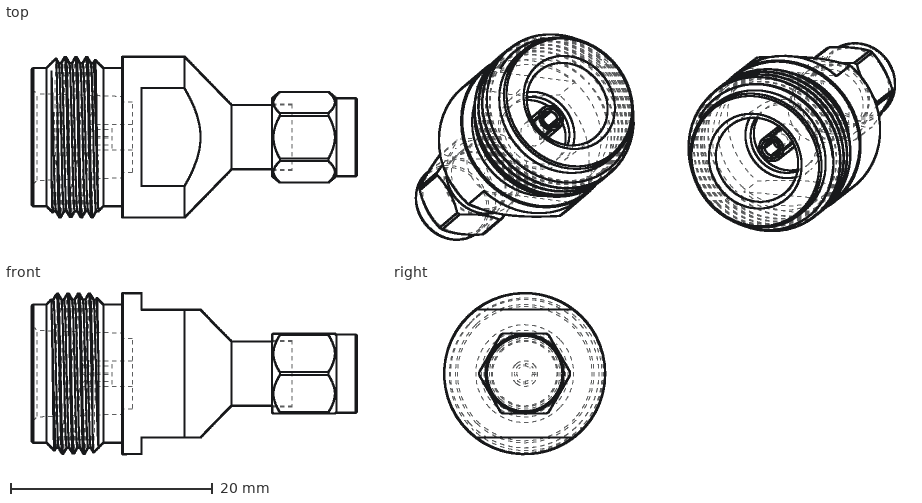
import cadquery as cq
import math


OVERALL_LENGTH = 32.26
MOUTH_X = -OVERALL_LENGTH / 2
TAIL_X = MOUTH_X + OVERALL_LENGTH
THREAD_START_X = MOUTH_X + 1.5
THREAD_END_X = MOUTH_X + 7.12
BODY_START_X = MOUTH_X + 8.96
FLATS_START_X = MOUTH_X + 10.93
CONE_START_X = MOUTH_X + 15.16
CONE_END_X = CONE_START_X + 4.67
NUT_START_X = MOUTH_X + 23.83
NUT_END_X = MOUTH_X + 30.2

BODY_RADIUS = 15.98 / 2
BODY_EDGE_CHAMFER = 0.1
SLEEVE_RADIUS = 13.72 / 2
SLEEVE_EDGE_CHAMFER = 0.2
NECK_RADIUS = 6.38 / 2
ACROSS_BODY_FLATS = 12.7

THREAD_RADIUS = 15.875 / 2
THREAD_PITCH = 25.4 / 24
THREAD_ROOT_RADIUS = 14.7 / 2
THREAD_ROOT_FLAT = THREAD_PITCH / 4
THREAD_HALF_ANGLE = math.radians(30)
TOP_CREST_X = MOUTH_X + 2.57
GROOVE_OVERCUT = 0.03
HELIX_TURNS = 7
HELIX_LEAD_IN = 1.5 * THREAD_PITCH

MOUTH_RADIUS = 9.7 / 2
BORE_RADIUS = 8.6 / 2
BORE_FLOOR_RADIUS = 8.07 / 2
BORE_DEPTH = 9.0
INNER_RECESS_RADIUS = 6.99 / 2
INNER_RECESS_DEPTH = 1.0

CONTACT_RADIUS = 2.54 / 2
CONTACT_TIP_DEPTH = 5.0
CONTACT_HOLE_RADIUS = 1.52 / 2
CONTACT_HOLE_DEPTH = 3.0
CONTACT_HOLE_CHAMFER = 0.24
SLOT_WIDTH = 0.15
SLOT_LENGTH = 3.0

NUT_ACROSS_FLATS = 7.94
NUT_CORNER_RADIUS = 9.0 / 2
NUT_FACE_INSET = 0.12
NUT_FACE_RADIUS = NUT_ACROSS_FLATS / 2 - NUT_FACE_INSET
NUT_CHAMFER_LENGTH = 0.78
NUT_TAIL_RADIUS = 7.76 / 2
NUT_TAIL_CHAMFER = 0.15
NUT_BORE_RADIUS = 6.6 / 2
NUT_BORE_DEPTH = 2.0


def revolve_about_axis(points):
    """Solid of revolution about X from a closed outline of (x, radius) points."""
    return cq.Workplane("XY").polyline(points).close().revolve(360, (0, 0), (1, 0))


def cylinder(start_x, length, radius):
    return cq.Workplane("YZ", origin=(start_x, 0, 0)).circle(radius).extrude(length)


def make_body():
    """Sleeve, body and neck, with a pair of wrench flats at +Z and -Z."""
    body = revolve_about_axis([
        (MOUTH_X, 0),
        (MOUTH_X, SLEEVE_RADIUS - SLEEVE_EDGE_CHAMFER),
        (MOUTH_X + SLEEVE_EDGE_CHAMFER, SLEEVE_RADIUS),
        (BODY_START_X, SLEEVE_RADIUS),
        (BODY_START_X, BODY_RADIUS - BODY_EDGE_CHAMFER),
        (BODY_START_X + BODY_EDGE_CHAMFER, BODY_RADIUS),
        (CONE_START_X, BODY_RADIUS),
        (CONE_END_X, NECK_RADIUS),
        (NUT_END_X, NECK_RADIUS),
        (NUT_END_X, 0),
    ])
    flats_length = CONE_END_X - FLATS_START_X
    stock = cq.Workplane("YZ", origin=(FLATS_START_X, 0, 0))
    whole = stock.rect(2 * BODY_RADIUS, 2 * BODY_RADIUS).extrude(flats_length)
    between_flats = stock.rect(2 * BODY_RADIUS, ACROSS_BODY_FLATS).extrude(flats_length)
    outside_flats = whole.cut(between_flats)
    return body.cut(outside_flats)


def make_thread():
    """Threaded collar: a blank with 45 degree ends, cut by a helical groove."""
    end_cone = THREAD_RADIUS - SLEEVE_RADIUS
    blank = revolve_about_axis([
        (THREAD_START_X, 0),
        (THREAD_START_X, SLEEVE_RADIUS),
        (THREAD_START_X + end_cone, THREAD_RADIUS),
        (THREAD_END_X - end_cone, THREAD_RADIUS),
        (THREAD_END_X, SLEEVE_RADIUS),
        (THREAD_END_X, 0),
    ])
    helix_start_x = TOP_CREST_X - HELIX_LEAD_IN
    root_half = THREAD_ROOT_FLAT / 2
    outer_radius = THREAD_RADIUS + GROOVE_OVERCUT
    outer_half = root_half + (outer_radius - THREAD_ROOT_RADIUS) * math.tan(THREAD_HALF_ANGLE)
    helix = cq.Wire.makeHelix(THREAD_PITCH, HELIX_TURNS * THREAD_PITCH, THREAD_ROOT_RADIUS)
    groove = (
        cq.Workplane("XZ")
        .polyline([
            (THREAD_ROOT_RADIUS, -root_half),
            (outer_radius, -outer_half),
            (outer_radius, outer_half),
            (THREAD_ROOT_RADIUS, root_half),
        ])
        .close()
        .sweep(cq.Workplane(helix), isFrenet=True)
        .rotate((0, 0, 0), (0, 1, 0), 90)
        .rotate((0, 0, 0), (1, 0, 0), 180)
        .translate((helix_start_x, 0, 0))
    )
    return blank.cut(groove)


def make_bore():
    """Socket cavity: chamfered mouth, slightly tapered bore and inner recess."""
    floor_x = MOUTH_X + BORE_DEPTH
    recess_floor_x = floor_x + INNER_RECESS_DEPTH
    return revolve_about_axis([
        (MOUTH_X, 0),
        (MOUTH_X, MOUTH_RADIUS),
        (MOUTH_X + MOUTH_RADIUS - BORE_RADIUS, BORE_RADIUS),
        (floor_x, BORE_FLOOR_RADIUS),
        (floor_x, INNER_RECESS_RADIUS),
        (recess_floor_x, INNER_RECESS_RADIUS),
        (recess_floor_x, 0),
    ])


def make_contact():
    """Centre contact standing on the recess floor, split into four fingers."""
    tip_x = MOUTH_X + CONTACT_TIP_DEPTH
    length = BORE_DEPTH + INNER_RECESS_DEPTH - CONTACT_TIP_DEPTH
    hole = revolve_about_axis([
        (tip_x, 0),
        (tip_x, CONTACT_HOLE_RADIUS + CONTACT_HOLE_CHAMFER),
        (tip_x + CONTACT_HOLE_CHAMFER, CONTACT_HOLE_RADIUS),
        (tip_x + CONTACT_HOLE_DEPTH, CONTACT_HOLE_RADIUS),
        (tip_x + CONTACT_HOLE_DEPTH, 0),
    ])
    contact = cylinder(tip_x, length, CONTACT_RADIUS).cut(hole)
    for angle in (0, 90):
        slot = (
            cq.Workplane("YZ", origin=(tip_x, 0, 0))
            .transformed(rotate=(0, 0, angle))
            .rect(2 * CONTACT_RADIUS, SLOT_WIDTH)
            .extrude(SLOT_LENGTH)
        )
        contact = contact.cut(slot)
    return contact


def make_nut():
    """Hex nut with flats at +Z and -Z, blunted corners and a round tail."""
    corner_to_corner = NUT_ACROSS_FLATS / math.cos(math.radians(30))
    hexagon = (
        cq.Workplane("YZ", origin=(NUT_START_X, 0, 0))
        .polygon(6, corner_to_corner)
        .extrude(NUT_END_X - NUT_START_X)
    )
    envelope = revolve_about_axis([
        (NUT_START_X, 0),
        (NUT_START_X, NUT_FACE_RADIUS),
        (NUT_START_X + NUT_CHAMFER_LENGTH, NUT_CORNER_RADIUS),
        (NUT_END_X - NUT_CHAMFER_LENGTH, NUT_CORNER_RADIUS),
        (NUT_END_X, NUT_FACE_RADIUS),
        (NUT_END_X, 0),
    ])
    tail = cylinder(NUT_END_X, TAIL_X - NUT_END_X, NUT_TAIL_RADIUS)
    tail = tail.faces(">X").chamfer(NUT_TAIL_CHAMFER)
    clearance = cylinder(NUT_START_X, NUT_BORE_DEPTH, NUT_BORE_RADIUS)
    return hexagon.intersect(envelope).union(tail).cut(clearance)


result = (
    make_body()
    .union(make_thread())
    .union(make_nut())
    .cut(make_bore())
    .union(make_contact())
)